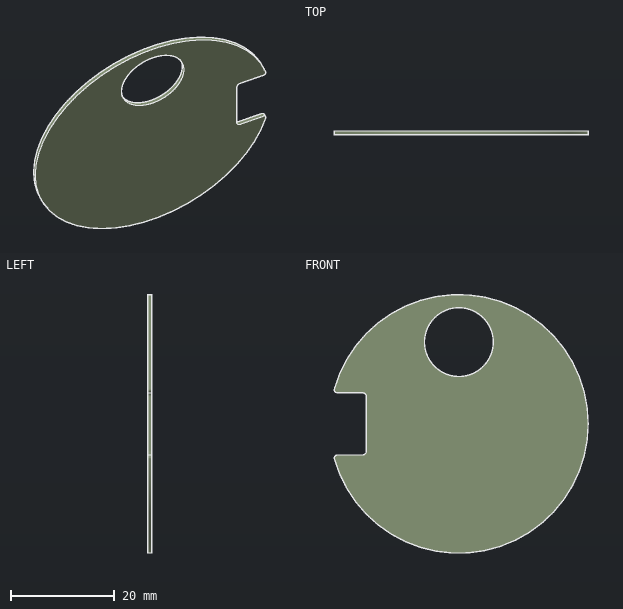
import cadquery as cq

disc_diameter = 49.85
thickness = 0.8

hole_diameter = 13.2
hole_height = 15.75

notch_width = 11.95
notch_floor_x = -17.85
inner_corner_radius = 0.75
tip_radius = 0.6

disc_radius = disc_diameter / 2
notch_length = disc_radius + notch_floor_x

disc = cq.Workplane("XZ").circle(disc_radius).extrude(thickness / 2, both=True)

hole = (
    cq.Workplane("XZ")
    .center(0, hole_height)
    .circle(hole_diameter / 2)
    .extrude(thickness, both=True)
)

notch = (
    cq.Workplane("XZ")
    .center(notch_floor_x - notch_length / 2, 0)
    .rect(notch_length, notch_width)
    .extrude(thickness, both=True)
    .edges("|Y and >X")
    .fillet(inner_corner_radius)
)

notched_disc = disc.cut(notch)
rounded_disc = notched_disc.edges("|Y and <X").fillet(tip_radius)

result = rounded_disc.cut(hole)